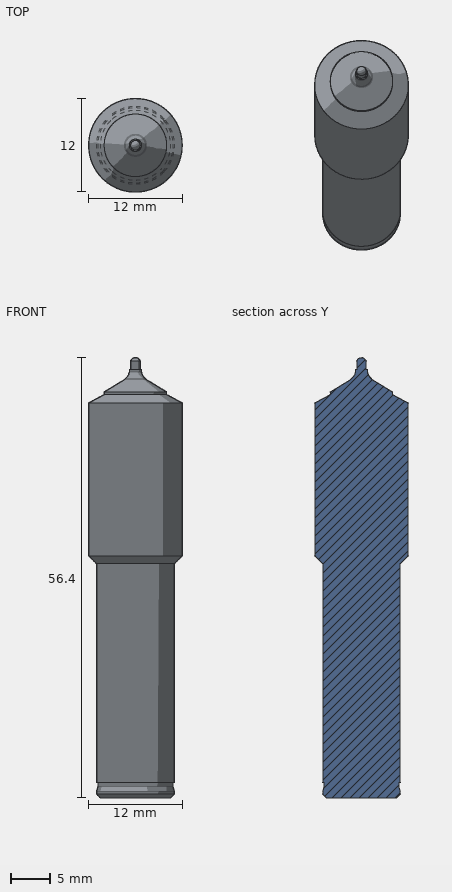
import cadquery as cq

total_height = 56.4
head_radius = 12.0 / 2
shank_radius = 10.0 / 2

foot_bevel_height = 0.5
foot_bevel_width = 0.5
rim_top = 0.85
groove_cone_top = 1.45
groove_top = 2.0
groove_depth = 0.15

head_bottom = 30.0
head_cylinder_bottom = head_bottom + head_radius - shank_radius
head_cylinder_top = 50.6

nose_radius = 4.0
nose_bottom = 51.65
nose_step_top = 52.0
nose_cone_top_radius = 1.4
nose_cone_top = 53.6

flare_bottom_radius = 1.3
flare_bottom = 53.7
flare_mid_radius = 0.95
flare_mid_height = 54.1
collar_radius = 0.8
collar_bottom = 54.55
collar_top = 54.9

tip_radius = 0.6
tip_dome_height = 0.45
tip_dome_radius = (tip_radius**2 + tip_dome_height**2) / (2 * tip_dome_height)

groove_radius = shank_radius - groove_depth

half_section = (
    cq.Workplane("XZ")
    .moveTo(0, 0)
    .lineTo(shank_radius - foot_bevel_width, 0)
    .lineTo(shank_radius, foot_bevel_height)
    .lineTo(shank_radius, rim_top)
    .lineTo(groove_radius, groove_cone_top)
    .lineTo(groove_radius, groove_top)
    .lineTo(shank_radius, groove_top)
    .lineTo(shank_radius, head_bottom)
    .lineTo(head_radius, head_cylinder_bottom)
    .lineTo(head_radius, head_cylinder_top)
    .lineTo(nose_radius, nose_bottom)
    .lineTo(nose_radius, nose_step_top)
    .lineTo(nose_cone_top_radius, nose_cone_top)
    .lineTo(flare_bottom_radius, flare_bottom)
    .threePointArc((flare_mid_radius, flare_mid_height), (collar_radius, collar_bottom))
    .lineTo(collar_radius, collar_top)
    .lineTo(tip_radius, collar_top)
    .lineTo(tip_radius, total_height - tip_dome_height)
    .radiusArc((0, total_height), -tip_dome_radius)
    .close()
)

result = half_section.revolve(360, (0, 0, 0), (0, 1, 0))